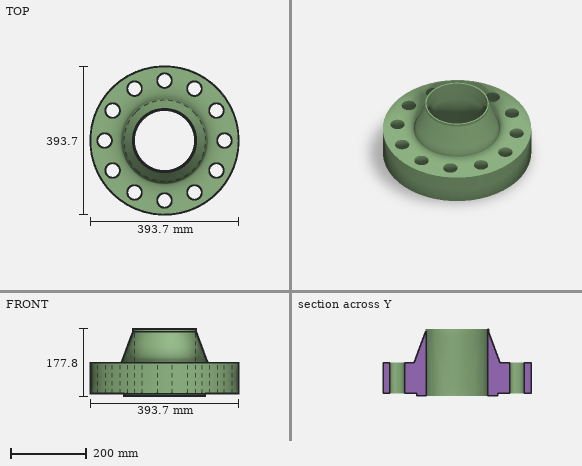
import cadquery as cq

flange_diameter = 393.7
flange_thickness = 82.55
raised_face_diameter = 215.9
raised_face_height = 6.35

overall_height = 177.8
hub_base_diameter = 228.6
hub_fillet_radius = 3.0
neck_diameter = 168.3
neck_land_height = 7.5
bore_diameter = 161.5

bolt_count = 12
bolt_circle_diameter = 317.5
bolt_hole_diameter = 38.0

flange_top = raised_face_height + flange_thickness
neck_land_bottom = overall_height - neck_land_height


def disc(diameter, bottom, top):
    """Solid cylinder on the Z axis between two heights."""
    return cq.Workplane("XY").workplane(offset=bottom).circle(diameter / 2).extrude(top - bottom)


def make_flange_body():
    """Raised face, plate, tapered hub and straight weld neck, still without holes."""
    raised_face = disc(raised_face_diameter, 0, raised_face_height)
    plate = disc(flange_diameter, raised_face_height, flange_top)
    hub = (
        cq.Workplane("XY")
        .workplane(offset=flange_top)
        .circle(hub_base_diameter / 2)
        .workplane(offset=neck_land_bottom - flange_top)
        .circle(neck_diameter / 2)
        .loft(ruled=True)
    )
    neck = disc(neck_diameter, neck_land_bottom, overall_height)
    return raised_face.union(plate).union(hub).union(neck)


def fillet_hub_root(body):
    """Round the inside corner where the hub meets the plate."""
    box_margin = 1
    half_box = hub_base_diameter / 2 + box_margin
    root_edge = cq.selectors.BoxSelector(
        (-half_box, -half_box, flange_top - box_margin),
        (half_box, half_box, flange_top + box_margin),
        boundingbox=True,
    )
    return body.edges(root_edge).fillet(hub_fillet_radius)


def cut_bore(body):
    """Open the straight bore through the full height."""
    return body.cut(disc(bore_diameter, 0, overall_height))


def cut_bolt_holes(body):
    """Drill the ring of bolt holes through the plate, the first one on +X."""
    holes = (
        cq.Workplane("XY")
        .workplane(offset=raised_face_height)
        .polarArray(bolt_circle_diameter / 2, 0, 360, bolt_count)
        .circle(bolt_hole_diameter / 2)
        .extrude(flange_thickness)
    )
    return body.cut(holes)


result = cut_bolt_holes(cut_bore(fillet_hub_root(make_flange_body())))